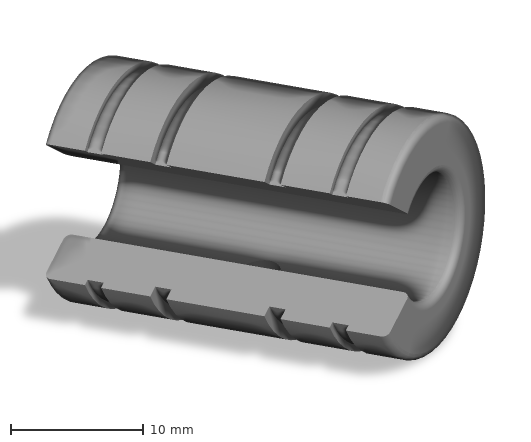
import cadquery as cq
import math

length = 29.0
outer_radius = 19.0 / 2
bore_radius = 10.0 / 2
edge_fillet = 0.58

groove_width = 1.35
outer_groove_offset = 10.32
outer_groove_depth = 0.52
inner_groove_offset = 4.8
inner_groove_depth = 1.0

opening_half_angle = 30.0
opening_wall_offset = 0.8

oil_hole_diameter = 3.0


def x_cylinder(radius, width, center_x=0.0):
    """Solid cylinder along X, centred at center_x."""
    return (
        cq.Workplane("YZ")
        .workplane(offset=center_x - width / 2)
        .circle(radius)
        .extrude(width)
    )


def make_sleeve():
    """Tube with rounded inner and outer rims at both ends."""
    tube = x_cylinder(outer_radius, length).cut(x_cylinder(bore_radius, length))
    return tube.faces("<X or >X").edges().fillet(edge_fillet)


def make_groove(center_x, depth):
    """Ring to remove from the outside of the sleeve."""
    ring = x_cylinder(outer_radius, groove_width, center_x)
    return ring.cut(x_cylinder(outer_radius - depth, groove_width, center_x))


def make_opening():
    """Wedge along the full length, widening towards -Y."""
    angle = math.radians(opening_half_angle)
    apex_y = opening_wall_offset / math.sin(angle)
    reach_y = -2 * outer_radius
    half_height = (apex_y - reach_y) * math.tan(angle)
    start_half_height = apex_y * math.tan(angle)
    return (
        cq.Workplane("YZ")
        .polyline([
            (0, -start_half_height),
            (reach_y, -half_height),
            (reach_y, half_height),
            (0, start_half_height),
        ])
        .close()
        .extrude(length / 2, both=True)
    )


def make_oil_hole():
    """Radial hole through the bottom wall, at mid length."""
    return cq.Workplane("XY").circle(oil_hole_diameter / 2).extrude(-outer_radius)


result = make_sleeve()
for side in (-1, 1):
    result = result.cut(make_groove(side * outer_groove_offset, outer_groove_depth))
    result = result.cut(make_groove(side * inner_groove_offset, inner_groove_depth))
result = result.cut(make_opening()).cut(make_oil_hole())